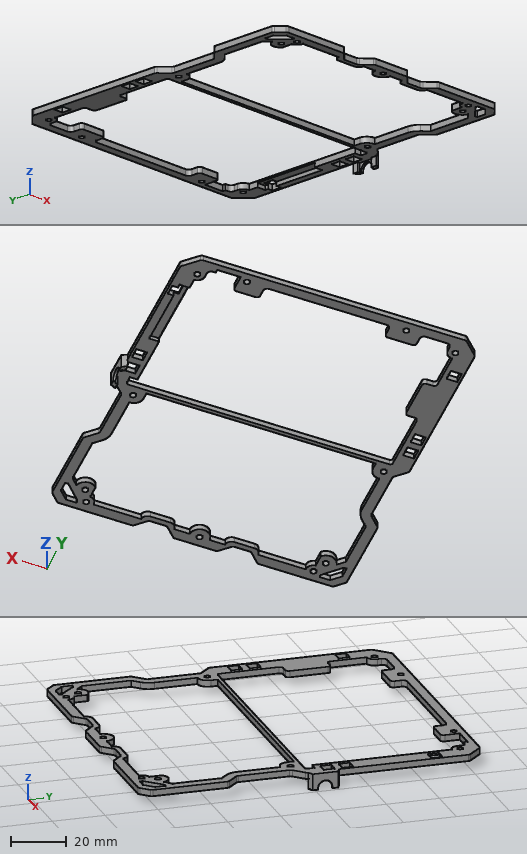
import cadquery as cq
import math

frame_width = 114.9
frame_length = 130.0
plate_thickness = 2.5
overall_height = 6.2
half_width = frame_width / 2

upper_chamfer = 5.8
lower_chamfer = 3.8
waist_depth = 4.5
waist_lower_start = 33.0
waist_upper_end = 62.5
outline_radius = 1.3

side_rail = 7.2
top_rail = 3.9
cross_bar_bottom = 61.8
cross_bar_top = 63.3
window_corner_radius = 0.9
lug_radius = 3.0
corner_hole_inset = 7.2
blend_radius = 1.7
tab_radius = 1.3
tab_drop = 9.5
left_tab_start = 21.7
left_tab_end = 33.8
right_tab_start = 22.1
right_tab_end = 32.1
top_notch_depth = 2.5
top_notch_end = 13.0
side_tab_inset = 12.2
side_tab_upper_drop = 25.1
side_tab_lower_drop = 42.1
right_notch_inset = 4.2
right_notch_top = 66.8

waist_rail = 4.2
lower_rail = 4.2
bottom_rail = 4.2
waist_inner_radius = 6.5
waist_inner_corner = 36.3
bar_lug_inset = 12.7
bar_lug_bottom = 55.4
bar_lug_radius = 3.8
corner_web_start = 13.1

large_lug_radius = 3.9
lower_lug_inset = 10.5
lower_lug_height = 9.6
edge_lug_inset = 13.1
edge_lug_height = 4.3
centre_lug_height = 4.0

scallop_offset = 16.4
scallop_half_width = 7.9
scallop_depth = 4.4
scallop_radius = 1.5
mouth_margin = 1.3
bump_half_width = 6.5
bump_height = 6.6
bump_radius = 2.6

hole_diameter = 2.2
square_size = 4.2
square_inset = 3.1
square_drops = [18.0, 51.6, 58.6]
corner_slot_inset = 2.6
corner_slot_bottom = 2.6
corner_slot_top = 10.0
corner_slot_top_width = 1.2
corner_slot_chamfer = 3.4
corner_slot_tip_inset = 10.0
corner_slot_tip_height = 3.6
bar_hole_inset = 8.6
bar_hole_height = 59.2
left_tab_hole_inset = 27.7
right_tab_hole_inset = 25.1
tab_hole_drop = 3.8

relief_start = 87.1
relief_end = 115.7
relief_depth = 1.7
relief_width = 3.9

ear_projection = 2.1
ear_bottom = 63.0
ear_top = 74.8
ear_slope = 1.0
ear_leg_width = 2.5
ear_web_thickness = 1.0
arch_radius = 2.7
arch_straight = 0.5

shortest_edge = 0.001


def rounded_prism(corners, height=plate_thickness, base=0.0):
    """Extrude a closed polygon of (x, y, radius) corners, each rounded by its own radius."""
    edges = []
    position = None
    first_point = None
    for i, (x, y, radius) in enumerate(corners):
        corner = cq.Vector(x, y)
        to_previous = (cq.Vector(*corners[i - 1][:2]) - corner).normalized()
        to_next = (cq.Vector(*corners[(i + 1) % len(corners)][:2]) - corner).normalized()
        half_angle = to_previous.getAngle(to_next) / 2
        setback = radius / math.tan(half_angle)
        start = corner + to_previous * setback
        end = corner + to_next * setback
        if position is None:
            first_point = start
        elif (start - position).Length > shortest_edge:
            edges.append(cq.Edge.makeLine(position, start))
        if radius > 0:
            bisector = (to_previous + to_next).normalized()
            middle = corner + bisector * (radius / math.sin(half_angle) - radius)
            edges.append(cq.Edge.makeThreePointArc(start, middle, end))
        position = end
    edges.append(cq.Edge.makeLine(position, first_point))
    outline = cq.Wire.assembleEdges(edges)
    prism = cq.Workplane("XY").add(outline).toPending().extrude(height)
    return prism.translate((0, 0, base))


def with_mirror(left_corners):
    """Complete a list of left-hand corners with their reflections, in closed order."""
    return left_corners + [(-x, y, radius) for x, y, radius in reversed(left_corners)]


def box(x_min, x_max, y_min, y_max, z_min=0.0, z_max=plate_thickness):
    size = (x_max - x_min, y_max - y_min, z_max - z_min)
    return cq.Workplane("XY", origin=(x_min, y_min, z_min)).box(*size, centered=False)


def disc(x, y, radius):
    return cq.Workplane("XY").center(x, y).circle(radius).extrude(plate_thickness)


def outer_blank():
    waist_x = half_width - waist_depth
    return rounded_prism(with_mirror([
        (-half_width + upper_chamfer, frame_length, outline_radius),
        (-half_width, frame_length - upper_chamfer, outline_radius),
        (-half_width, waist_upper_end, outline_radius),
        (-waist_x, waist_upper_end - waist_depth, outline_radius),
        (-waist_x, waist_lower_start + waist_depth, outline_radius),
        (-half_width, waist_lower_start, outline_radius),
        (-half_width, lower_chamfer, outline_radius),
        (-half_width + lower_chamfer, 0, outline_radius),
    ]))


def upper_window():
    side = half_width - side_rail
    top = frame_length - top_rail
    lug_x = half_width - corner_hole_inset - lug_radius
    lug_y = frame_length - corner_hole_inset - lug_radius
    tab_y = frame_length - tab_drop
    side_tab_x = -half_width + side_tab_inset
    notch_y = frame_length - top_notch_depth
    return rounded_prism([
        (-side, cross_bar_top, window_corner_radius),
        (-side, frame_length - side_tab_lower_drop, tab_radius),
        (side_tab_x, frame_length - side_tab_lower_drop, tab_radius),
        (side_tab_x, frame_length - side_tab_upper_drop, tab_radius),
        (-side, frame_length - side_tab_upper_drop, tab_radius),
        (-side, lug_y, 0),
        (-lug_x, lug_y, lug_radius),
        (-lug_x, top, blend_radius),
        (-half_width + left_tab_start, top, blend_radius),
        (-half_width + left_tab_start, tab_y, tab_radius),
        (-half_width + left_tab_end, tab_y, tab_radius),
        (-half_width + left_tab_end, top, blend_radius),
        (half_width - right_tab_end, top, blend_radius),
        (half_width - right_tab_end, tab_y, tab_radius),
        (half_width - right_tab_start, tab_y, tab_radius),
        (half_width - right_tab_start, notch_y, 0),
        (half_width - top_notch_end, notch_y, 0),
        (half_width - top_notch_end, top, 0),
        (lug_x, top, blend_radius),
        (lug_x, lug_y, lug_radius),
        (side, lug_y, 0),
        (side, right_notch_top, 0),
        (half_width - right_notch_inset, right_notch_top, 0),
        (half_width - right_notch_inset, cross_bar_top, window_corner_radius),
    ])


def lower_window():
    waist_x = half_width - waist_depth - waist_rail
    lower_x = half_width - lower_rail
    lug_x = half_width - bar_lug_inset
    return rounded_prism(with_mirror([
        (-lug_x, cross_bar_bottom, 0),
        (-lug_x, bar_lug_bottom, bar_lug_radius),
        (-waist_x, bar_lug_bottom, 0),
        (-waist_x, waist_inner_corner, waist_inner_radius),
        (-lower_x, waist_inner_corner - (lower_x - waist_x), 0),
        (-lower_x, corner_web_start, 0),
        (-lower_x + corner_web_start - bottom_rail, bottom_rail, 0),
    ]))


def lower_lugs(side):
    """Pair of lugs beside one lower corner; side is -1 for left and 1 for right."""
    lug_x = half_width - lower_lug_inset
    flat_x = lug_x - lug_radius
    flat_top = lower_lug_height + math.sqrt(large_lug_radius**2 - lug_radius**2)
    lug = disc(-lug_x, lower_lug_height, large_lug_radius)
    lug = lug.intersect(box(-half_width, -flat_x, 0, frame_length))
    lug = lug.union(box(-lug_x, -flat_x, bottom_rail, flat_top))
    lug = lug.union(disc(-half_width + edge_lug_inset, edge_lug_height, lug_radius))
    return lug if side < 0 else lug.mirror("YZ")


def bump(centre_x):
    """Round-shouldered block that carries the lower rail over a scallop."""
    return rounded_prism([
        (centre_x - bump_half_width, 0, 0),
        (centre_x - bump_half_width, bump_height, bump_radius),
        (centre_x + bump_half_width, bump_height, bump_radius),
        (centre_x + bump_half_width, 0, 0),
    ])


def scallop(centre_x):
    """Cutter for a scallop with 45 degree flanks; its mouth runs into the lower edge through arcs."""
    top_half_width = scallop_half_width - scallop_depth
    mouth_half_width = scallop_half_width + outline_radius
    return rounded_prism([
        (centre_x - mouth_half_width, -mouth_margin, 0),
        (centre_x - mouth_half_width, 0, 0),
        (centre_x - scallop_half_width, 0, outline_radius),
        (centre_x - top_half_width, scallop_depth, scallop_radius),
        (centre_x + top_half_width, scallop_depth, scallop_radius),
        (centre_x + scallop_half_width, 0, outline_radius),
        (centre_x + mouth_half_width, 0, 0),
        (centre_x + mouth_half_width, -mouth_margin, 0),
    ])


def corner_slot(side):
    """Opening inside one lower corner; side is -1 for left and 1 for right."""
    slot_x = -half_width + corner_slot_inset
    tip_x = -half_width + corner_slot_tip_inset
    slot = rounded_prism([
        (slot_x, corner_slot_top, 0),
        (slot_x, corner_slot_bottom + corner_slot_chamfer, 0),
        (slot_x + corner_slot_chamfer, corner_slot_bottom, 0),
        (tip_x, corner_slot_bottom, 0),
        (tip_x, corner_slot_tip_height, 0),
        (slot_x + corner_slot_top_width, corner_slot_top, 0),
    ])
    return slot if side < 0 else slot.mirror("YZ")


def rail_relief():
    """Shallow relief in the lower face of the right rail, open toward the upper window."""
    inner_x = half_width - side_rail
    return box(inner_x, inner_x + relief_width, relief_start, relief_end, 0, relief_depth)


def hanging_ear():
    """Ear beside the right rail: two legs hang down, joined by a thinner arched web."""
    inner_x = half_width
    outer_x = half_width + ear_projection
    drop = overall_height - plate_thickness
    ear = rounded_prism([
        (inner_x, ear_bottom, 0),
        (outer_x, ear_bottom + ear_slope, 0),
        (outer_x, ear_top - ear_slope, 0),
        (inner_x, ear_top, 0),
    ], overall_height, -drop)
    web_recess = box(inner_x, outer_x - ear_web_thickness,
                     ear_bottom + ear_leg_width, ear_top - ear_leg_width, -drop, 0)
    arch_y = (ear_bottom + ear_top) / 2
    arch_top = -drop + arch_straight
    arch = (
        cq.Workplane("YZ", origin=(inner_x, 0, 0))
        .moveTo(arch_y - arch_radius, -drop)
        .lineTo(arch_y - arch_radius, arch_top)
        .threePointArc((arch_y, arch_top + arch_radius), (arch_y + arch_radius, arch_top))
        .lineTo(arch_y + arch_radius, -drop)
        .close()
        .extrude(ear_projection)
    )
    return ear.cut(web_recess).cut(arch)


frame = outer_blank().cut(upper_window()).cut(lower_window())
frame = frame.union(disc(0, centre_lug_height, large_lug_radius))

for side in (-1, 1):
    frame = frame.union(lower_lugs(side))
    bump_x = side * scallop_offset
    frame = frame.union(bump(bump_x))
    frame = frame.cut(scallop(bump_x))
    frame = frame.cut(corner_slot(side))

hole_points = [
    (0, centre_lug_height),
    (-half_width + left_tab_hole_inset, frame_length - tab_hole_drop),
    (half_width - right_tab_hole_inset, frame_length - tab_hole_drop),
]
square_points = []
for side in (-1, 1):
    hole_points += [
        (side * (half_width - corner_hole_inset), frame_length - corner_hole_inset),
        (side * (half_width - bar_hole_inset), bar_hole_height),
        (side * (half_width - lower_lug_inset), lower_lug_height),
        (side * (half_width - edge_lug_inset), edge_lug_height),
    ]
    square_points += [(side * (half_width - square_inset), frame_length - depth) for depth in square_drops]

holes = cq.Workplane("XY").pushPoints(hole_points).circle(hole_diameter / 2).extrude(plate_thickness)
squares = cq.Workplane("XY").pushPoints(square_points).rect(square_size, square_size)
squares = squares.extrude(plate_thickness)

result = frame.cut(holes).cut(squares).cut(rail_relief()).union(hanging_ear())